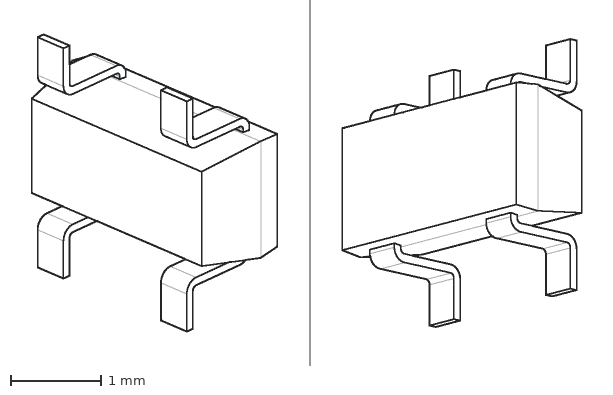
import cadquery as cq

body_length = 2.9
body_width = 1.45
front_inset = 0.14
back_inset = 0.025
total_depth = 1.17
standoff = 0.07
parting_depth = 0.3

lead_span = 2.86
lead_width = 0.4
lead_thickness = 0.1
lead_height = 1.0
lead_offset = 0.95
inner_radius = 0.052
outer_radius = inner_radius + lead_thickness
leg_outer_z = 0.908
lead_root_z = 0.58

back_y = total_depth
parting_y = back_y - parting_depth
front_y = standoff


def tapered_block(start_y, end_y, end_inset):
    """Frustum from the full parting-plane outline to an inset rectangle."""
    return (
        cq.Workplane("XZ", origin=(0, start_y, 0))
        .rect(body_length, body_width)
        .workplane(offset=start_y - end_y)
        .rect(body_length - 2 * end_inset, body_width - 2 * end_inset)
        .loft(ruled=True)
    )


def make_lead(center_x):
    """Lead on the +Z side: shoulder, leg and foot joined by two round bends."""
    leg_inner_z = leg_outer_z - lead_thickness
    shoulder_end_z = leg_outer_z - outer_radius
    foot_start_z = leg_inner_z + outer_radius
    shoulder_under_y = lead_height - lead_thickness
    upper_bend_y = lead_height - outer_radius
    lower_bend_y = outer_radius
    tip_z = lead_span / 2
    return (
        cq.Workplane("YZ", origin=(center_x - lead_width / 2, 0, 0))
        .moveTo(lead_height, lead_root_z)
        .lineTo(lead_height, shoulder_end_z)
        .tangentArcPoint((upper_bend_y, leg_outer_z), relative=False)
        .lineTo(lower_bend_y, leg_outer_z)
        .tangentArcPoint((lead_thickness, foot_start_z), relative=False)
        .lineTo(lead_thickness, tip_z)
        .lineTo(0, tip_z)
        .lineTo(0, foot_start_z)
        .tangentArcPoint((lower_bend_y, leg_inner_z), relative=False)
        .lineTo(upper_bend_y, leg_inner_z)
        .tangentArcPoint((shoulder_under_y, shoulder_end_z), relative=False)
        .lineTo(shoulder_under_y, lead_root_z)
        .close()
        .extrude(lead_width)
    )


result = tapered_block(parting_y, front_y, front_inset)
result = result.union(tapered_block(parting_y, back_y, back_inset))

for center_x in (-lead_offset, lead_offset):
    lead = make_lead(center_x)
    result = result.union(lead).union(lead.mirror("XY"))